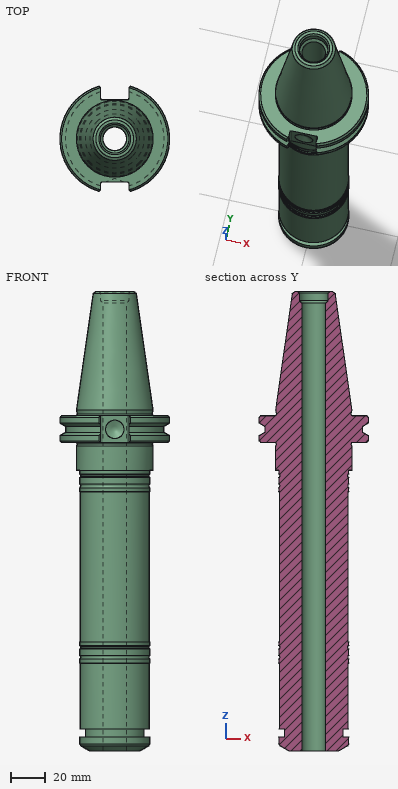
import cadquery as cq
import math

total_length = 265.5
gauge_height = 197.0
flange_top = 193.8
flange_mid = 185.8
flange_bottom = 178.0
collar_bottom = 162.2
lower_joint_top = 63.2
body_bottom = 12.7
nut_top = 8.2
nut_rim_bottom = 4.2

taper_small_radius = 25.0 / 2
taper_large_radius = 44.3 / 2
flange_radius = 63.5 / 2
flange_groove_radius = 56.8 / 2
sleeve_radius = 40.5 / 2
body_radius = 40.0 / 2
neck_radius = 34.0 / 2
nut_cone_radius = 19.6
nut_face_radius = 14.3
nut_cone_slope = math.radians(30)

taper_end_bevel = 1.5
taper_end_bevel_height = 1.0
flange_bevel = 1.0
relief_depth = 0.5
relief_short_height = 0.8
relief_long_height = 1.0

v_groove_opening = 7.2
v_groove_slope = math.radians(30)

sleeve_length = 12.5
sleeve_bevel = sleeve_radius - body_radius
parting_drop = 3.2
parting_width = 2.0
parting_depth = 0.5
round_groove_drop = 9.0
round_groove_width = 2.0
round_groove_depth = 0.5

slot_width = 16.2
slot_edge_bevel = 1.0
slot_corner_radius = 0.8
front_slot_floor = 25.0
back_slot_floor = 22.5
dimple_diameter = 10.5
dimple_depth = 2.0

bore_diameter = 13.5
pilot_diameter = 16.5
pilot_mouth_diameter = 18.3
pilot_depth = 5.3


def revolve_outline(outline):
    """Revolve a closed (radius, height) outline around the Z axis."""
    return outline.close().revolve(360, (0, 0, 0), (0, 1, 0))


def shank_and_nut():
    """Taper, flange, collar, tubular body and clamping nut, outlined from the top down."""
    v_outer = v_groove_opening / 2
    v_inner = v_outer - (flange_radius - flange_groove_radius) * math.tan(v_groove_slope)
    relief_radius = taper_large_radius - relief_depth
    collar_relief = flange_bottom - relief_short_height
    nut_cone_top = (nut_cone_radius - nut_face_radius) * math.tan(nut_cone_slope)
    outline = [
        (0, total_length),
        (taper_small_radius - taper_end_bevel, total_length),
        (taper_small_radius, total_length - taper_end_bevel_height),
        (taper_large_radius, gauge_height),
        (relief_radius, flange_top + relief_short_height),
        (taper_large_radius, flange_top),
        (flange_radius - flange_bevel, flange_top),
        (flange_radius, flange_top - flange_bevel),
        (flange_radius, flange_mid + v_outer),
        (flange_groove_radius, flange_mid + v_inner),
        (flange_groove_radius, flange_mid - v_inner),
        (flange_radius, flange_mid - v_outer),
        (flange_radius, flange_bottom + flange_bevel),
        (flange_radius - flange_bevel, flange_bottom),
        (taper_large_radius, flange_bottom),
        (relief_radius, collar_relief),
        (taper_large_radius, collar_relief - relief_long_height),
        (taper_large_radius, collar_bottom),
        (body_radius, collar_bottom),
        (body_radius, body_bottom),
        (neck_radius, body_bottom),
        (neck_radius, nut_top),
        (sleeve_radius, nut_top),
        (sleeve_radius, nut_rim_bottom),
        (nut_cone_radius, nut_cone_top),
        (nut_face_radius, 0),
        (0, 0),
    ]
    return revolve_outline(cq.Workplane("XZ").polyline(outline))


def joint_sleeve(top):
    """Slightly raised sleeve with a bevelled lower end, going down from a height."""
    bottom = top - sleeve_length
    outline = [
        (0, top),
        (sleeve_radius, top),
        (sleeve_radius, bottom + sleeve_bevel),
        (body_radius, bottom),
        (0, bottom),
    ]
    return revolve_outline(cq.Workplane("XZ").polyline(outline))


def sleeve_parting_groove(sleeve_top):
    """Groove with bevelled walls and a narrow flat floor near the top of a sleeve."""
    middle = sleeve_top - parting_drop
    half = parting_width / 2
    floor_half = half - parting_depth
    floor_radius = sleeve_radius - parting_depth
    outline = [
        (sleeve_radius, middle + half),
        (floor_radius, middle + floor_half),
        (floor_radius, middle - floor_half),
        (sleeve_radius, middle - half),
    ]
    return revolve_outline(cq.Workplane("XZ").polyline(outline))


def sleeve_round_groove(sleeve_top):
    """Shallow groove of circular section near the lower end of a sleeve."""
    middle = sleeve_top - round_groove_drop
    half = round_groove_width / 2
    outline = (
        cq.Workplane("XZ")
        .moveTo(sleeve_radius, middle + half)
        .threePointArc(
            (sleeve_radius - round_groove_depth, middle),
            (sleeve_radius, middle - half),
        )
    )
    return revolve_outline(outline)


def drive_slot(floor, side):
    """Slot through the flange on the +Y (side = 1) or -Y (side = -1) edge.

    The mouth is flared by the edge bevel and the two floor corners are rounded.
    """
    half = slot_width / 2
    rim_y = math.sqrt(flange_radius**2 - (half + slot_edge_bevel) ** 2)
    bevel_start = rim_y - slot_edge_bevel
    flare = half
    right = [
        (half, floor),
        (half, bevel_start),
        (half + flare, bevel_start + flare),
    ]
    left = [(-x, y) for x, y in reversed(right)]
    outline = [(x, side * y) for x, y in right + left]
    height = flange_top - flange_bottom
    slot = cq.Workplane("XY", (0, 0, flange_bottom)).polyline(outline).close().extrude(height)
    floor_point = (0, side * floor, flange_bottom + height / 2)
    floor_face = slot.faces(cq.selectors.NearestToPointSelector(floor_point))
    return floor_face.edges("|Z").fillet(slot_corner_radius)


def dimple():
    """Conical dimple in the floor of the front slot."""
    mouth_center = cq.Vector(0, -front_slot_floor, flange_mid)
    inward = cq.Vector(0, 1, 0)
    return cq.Workplane(
        cq.Solid.makeCone(dimple_diameter / 2, 0, dimple_depth, mouth_center, inward)
    )


def bore():
    """Through bore with a pilot bore and bevelled mouth at the taper end."""
    bore_radius = bore_diameter / 2
    pilot_radius = pilot_diameter / 2
    mouth_radius = pilot_mouth_diameter / 2
    pilot_floor = total_length - pilot_depth
    outline = [
        (0, 0),
        (bore_radius, 0),
        (bore_radius, pilot_floor - (pilot_radius - bore_radius)),
        (pilot_radius, pilot_floor),
        (pilot_radius, total_length - (mouth_radius - pilot_radius)),
        (mouth_radius, total_length),
        (0, total_length),
    ]
    return revolve_outline(cq.Workplane("XZ").polyline(outline))


result = shank_and_nut()
for sleeve_top in (collar_bottom, lower_joint_top):
    result = result.union(joint_sleeve(sleeve_top))
    result = result.cut(sleeve_parting_groove(sleeve_top))
    result = result.cut(sleeve_round_groove(sleeve_top))

result = (
    result.cut(drive_slot(front_slot_floor, -1))
    .cut(drive_slot(back_slot_floor, 1))
    .cut(dimple())
    .cut(bore())
)